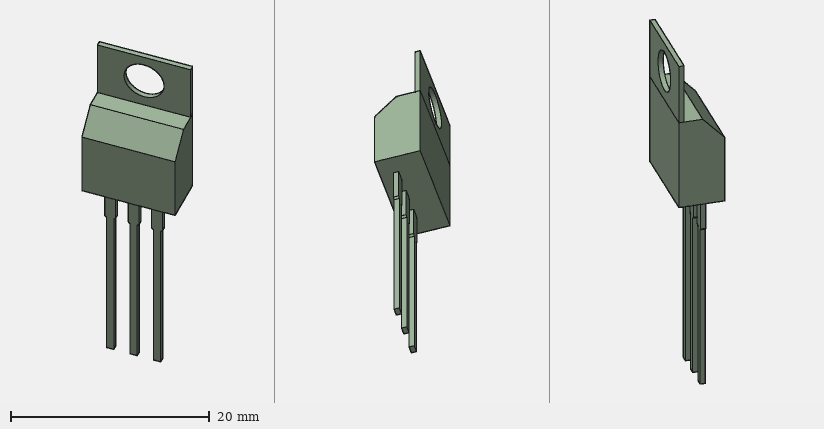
import cadquery as cq


package_width = 10.1
package_depth = 4.83
total_height = 38.14

housing_height = 9.77
chamfer_depth = 2.32
chamfer_height = 2.45

tab_thickness = 0.56
hole_diameter = 4.31
hole_below_top = 3.2

lead_count = 3
lead_pitch = 2.54
lead_length = 21.89
lead_thickness = 0.56
lead_inset = 3.15
shoulder_width = 1.2
shoulder_length = 3.93
taper_length = 0.2
tail_width = 0.8

tab_height = total_height - lead_length - housing_height


def make_housing():
    """Moulded block with its upper front edge bevelled."""
    profile = (
        cq.Workplane("YZ")
        .moveTo(0, 0)
        .lineTo(0, housing_height)
        .lineTo(chamfer_depth - package_depth, housing_height)
        .lineTo(-package_depth, housing_height - chamfer_height)
        .lineTo(-package_depth, 0)
        .close()
    )
    return profile.extrude(package_width / 2, both=True)


def make_tab():
    """Plate standing on the housing, flush with its back, with a mounting hole."""
    plate = cq.Workplane("XY").box(
        package_width, tab_thickness, tab_height, centered=(True, False, False)
    )
    plate = plate.translate((0, -tab_thickness, housing_height))
    hole_z = housing_height + tab_height - hole_below_top
    hole = (
        cq.Workplane("XZ")
        .center(0, hole_z)
        .circle(hole_diameter / 2)
        .extrude(tab_thickness)
    )
    return plate.cut(hole)


def make_lead(center_x):
    """Flat lead below the housing: a wide shoulder that tapers briefly to a narrow tail."""
    half_shoulder = shoulder_width / 2
    half_tail = tail_width / 2
    tail_top = shoulder_length + taper_length
    lead = (
        cq.Workplane("XZ")
        .moveTo(-half_shoulder, 0)
        .lineTo(half_shoulder, 0)
        .lineTo(half_shoulder, -shoulder_length)
        .lineTo(half_tail, -tail_top)
        .lineTo(half_tail, -lead_length)
        .lineTo(-half_tail, -lead_length)
        .lineTo(-half_tail, -tail_top)
        .lineTo(-half_shoulder, -shoulder_length)
        .close()
        .extrude(lead_thickness / 2, both=True)
    )
    return lead.translate((center_x, -lead_inset, 0))


housing = make_housing()
tab = make_tab()
leads = []
for index in range(lead_count):
    lead_x = (index - (lead_count - 1) / 2) * lead_pitch
    leads.append(make_lead(lead_x))

result = cq.Compound.makeCompound(
    [housing.val(), tab.val(), *[lead.val() for lead in leads]]
)